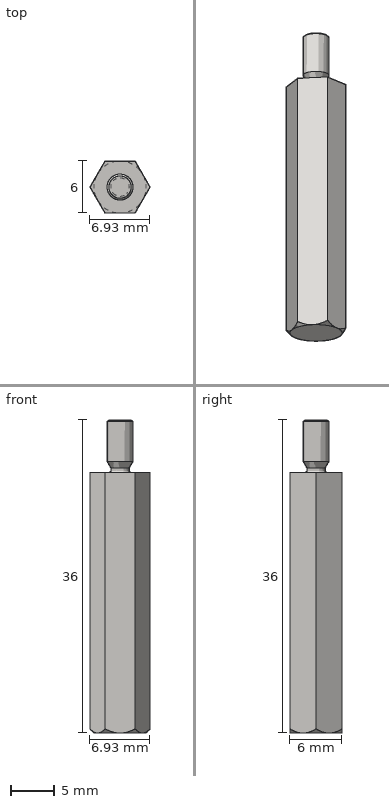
import cadquery as cq
import math

total_length = 36.0
across_flats = total_length / 6
across_corners = across_flats / math.cos(math.pi / 6)
stud_length = total_length / 6
body_length = total_length - stud_length

stud_radius = 3.0 / 2
neck_radius = 2.12 / 2
neck_base_radius = 2.45 / 2
neck_fillet = neck_base_radius - neck_radius
neck_cone_start = 0.5
neck_cone_half_angle = math.radians(30)
neck_cone_height = (stud_radius - neck_radius) / math.tan(neck_cone_half_angle)
tip_chamfer = 0.2
tip_chamfer_height = 0.162


def make_body():
    """Hexagonal prism whose lower corners are trimmed by a 45 degree cone."""
    prism = cq.Workplane("XY").polygon(6, across_corners).extrude(body_length)
    bottom_radius = across_flats / 2
    corner_radius = across_corners / 2
    chamfer_height = corner_radius - bottom_radius
    envelope = (
        cq.Workplane("XY")
        .circle(corner_radius)
        .extrude(body_length)
        .faces("<Z")
        .chamfer(chamfer_height)
    )
    return prism.intersect(envelope)


def make_stud():
    """Revolved stud with a filleted, undercut neck and a chamfered tip."""
    cone_bottom = body_length + neck_cone_start
    cone_top = cone_bottom + neck_cone_height
    arc_offset = neck_fillet * (1 - math.sqrt(0.5))
    profile = (
        cq.Workplane("XZ")
        .moveTo(0, body_length)
        .lineTo(neck_base_radius, body_length)
        .threePointArc(
            (neck_radius + arc_offset, body_length + arc_offset),
            (neck_radius, body_length + neck_fillet),
        )
        .lineTo(neck_radius, cone_bottom)
        .lineTo(stud_radius, cone_top)
        .lineTo(stud_radius, total_length - tip_chamfer_height)
        .lineTo(stud_radius - tip_chamfer, total_length)
        .lineTo(0, total_length)
        .close()
    )
    return profile.revolve(360, (0, 0, 0), (0, 1, 0))


result = make_body().union(make_stud())